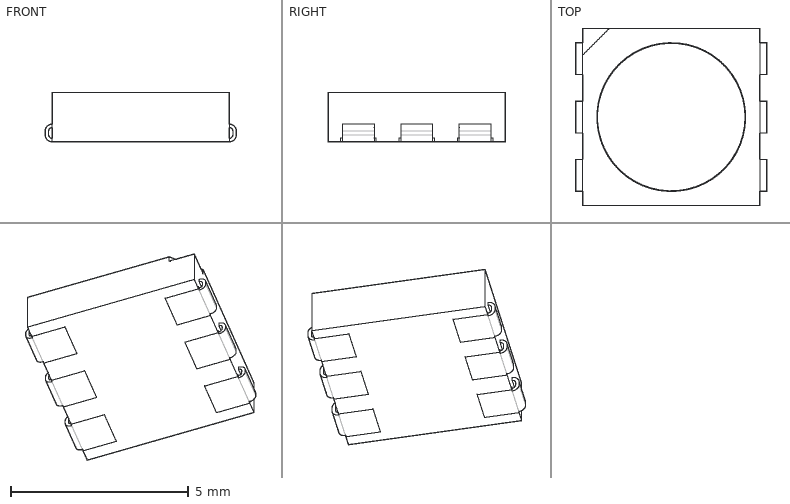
import cadquery as cq

overall_length = 5.4
body_side = 5.0
body_height = 1.4

recess_diameter = 4.2
recess_depth = 0.8
lens_diameter = 4.165

corner_leg = 0.75
corner_depth = 0.2

leads_per_side = 3
lead_pitch = 1.645
lead_width = 0.9
lead_height = 0.5
strip_thickness = 0.1
pad_width = 1.0
pad_length = 1.0

half_body = body_side / 2
bend_radius = overall_length / 2 - half_body


def top_disc(diameter):
    """Disc from the recess floor up to the top of the housing."""
    return (
        cq.Workplane("XY", origin=(0, 0, body_height - recess_depth))
        .circle(diameter / 2)
        .extrude(recess_depth)
    )


def make_housing(leads):
    """Square block with one corner stepped down, a lens recess and a pocket for each lead foot."""
    block = cq.Workplane("XY").box(body_side, body_side, body_height, centered=(True, True, False))
    corner_step = (
        cq.Workplane("XY", origin=(-half_body, half_body, body_height - corner_depth))
        .polyline([(0, 0), (corner_leg, 0), (0, -corner_leg)])
        .close()
        .extrude(corner_depth)
    )
    housing = block.cut(corner_step).cut(top_disc(recess_diameter))
    for lead in leads:
        housing = housing.cut(lead)
    return housing


def make_lens():
    """Disc standing on the recess floor, flush with the top of the housing."""
    return top_disc(lens_diameter)


def half_slot(radius, margin):
    """Rounded outline against the +X housing wall, set in by margin at top and bottom."""
    wall = half_body
    bottom = margin
    top = lead_height - margin
    tip = wall + radius
    return (
        cq.Workplane("XZ", origin=(0, lead_width / 2, 0))
        .moveTo(wall, bottom)
        .radiusArc((tip, bottom + radius), -radius)
        .lineTo(tip, top - radius)
        .radiusArc((wall, top), -radius)
        .close()
        .extrude(lead_width)
    )


def make_lead():
    """Foot under the housing and a C-shaped strip bent up outside its +X wall, centred on Y = 0."""
    outer = half_slot(bend_radius, 0)
    inner = half_slot(bend_radius - strip_thickness, strip_thickness)
    foot = (
        cq.Workplane("XY", origin=(half_body - pad_length / 2, 0, 0))
        .box(pad_length, pad_width, strip_thickness, centered=(True, True, False))
    )
    return outer.cut(inner).union(foot)


def make_leads():
    """A row of evenly spaced leads along the +X wall and another along the -X wall."""
    lead = make_lead()
    middle = (leads_per_side - 1) / 2
    leads = []
    for side_angle in (0, 180):
        for index in range(leads_per_side):
            y = (index - middle) * lead_pitch
            leads.append(lead.rotate((0, 0, 0), (0, 0, 1), side_angle).translate((0, y, 0)))
    return leads


leads = make_leads()
housing = make_housing(leads)
lens = make_lens()

result = cq.Compound.makeCompound([housing.val(), lens.val(), *[lead.val() for lead in leads]])